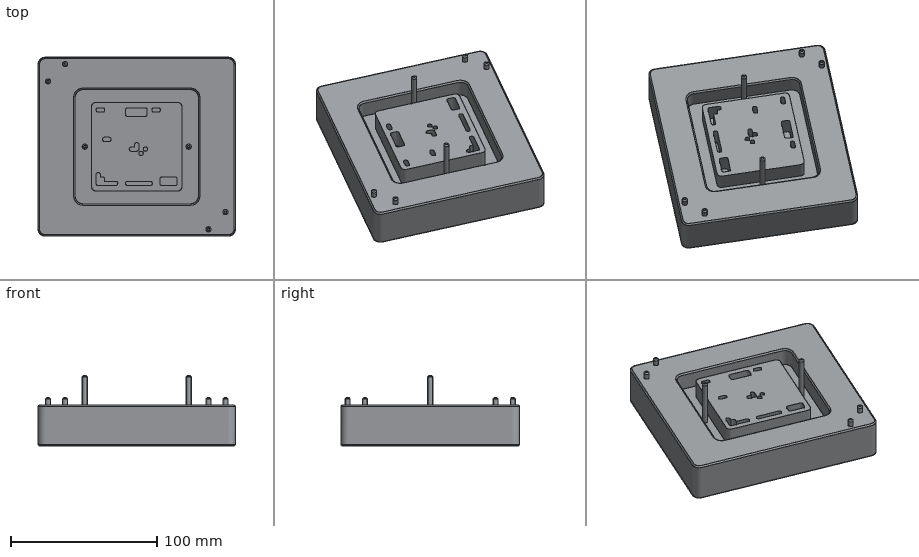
import cadquery as cq

base_length = 135.0
base_width = 122.3
base_height = 28.0
base_corner_radius = 5.0
edge_chamfer = 1.0

pocket_length = 84.2
pocket_width = 78.0
pocket_depth = 13.0
pocket_corner_radius = 5.4
island_length = 61.8
island_width = 60.5
island_corner_radius = 3.0
pocket_floor = base_height - pocket_depth

cutter_diameter = 3.0
cutter_radius = cutter_diameter / 2
two_cells = 2 * cutter_diameter
three_cells = 3 * cutter_diameter
four_cells = 4 * cutter_diameter
five_cells = 5 * cutter_diameter
recess_edge_x = -27.8
recess_edge_y = 26.6
middle_edge_x = -7.7
upper_slot_x = 10.3
side_slot_x = -23.5
side_slot_y = 3.5
lower_slot_length = 18.4
right_recess_x = 15.8
cluster_x = -1.5
cluster_y = -3.1
cluster_arm_length = 6.6

pin_diameter = 3.5
pin_chamfer = 1.0
long_pin_top = 48.0
long_pin_x = 35.5
short_pin_top = 33.0
short_pin_spots = [(-49.0, 56.4), (-60.6, 44.7)]


def rounded_block(length, width, height, radius, bottom):
    block = cq.Workplane("XY", origin=(0, 0, bottom)).rect(length, width).extrude(height)
    return block.edges("|Z").fillet(radius)


def recess(left, low, length, width):
    """Cutter for one recess, given its lower left corner; its corners have the cutter radius."""
    centre = (left + length / 2, low + width / 2, pocket_floor)
    plane = cq.Workplane("XY", origin=centre)
    if length > cutter_diameter and width > cutter_diameter:
        return plane.rect(length, width).extrude(pocket_depth).edges("|Z").fillet(cutter_radius)
    if length > width:
        return plane.slot2D(length, width).extrude(pocket_depth)
    if width > length:
        return plane.slot2D(width, length, 90).extrude(pocket_depth)
    return plane.circle(cutter_radius).extrude(pocket_depth)


def make_base():
    base = rounded_block(base_length, base_width, base_height, base_corner_radius, 0)
    base = base.faces("<Z or >Z").chamfer(edge_chamfer)
    pocket = rounded_block(pocket_length, pocket_width, pocket_depth, pocket_corner_radius, pocket_floor)
    base = base.cut(pocket)
    base = base.faces(">Z").wires(cq.selectors.LengthNthSelector(0)).chamfer(edge_chamfer)
    island = rounded_block(island_length, island_width, pocket_depth, island_corner_radius, pocket_floor)
    return base.union(island)


def cut_recesses(base):
    bottom_y = -recess_edge_y
    recesses = [
        (recess_edge_x, recess_edge_y - cutter_diameter, two_cells, cutter_diameter),
        (middle_edge_x, recess_edge_y - two_cells, five_cells, two_cells),
        (upper_slot_x, recess_edge_y - cutter_diameter, two_cells, cutter_diameter),
        (side_slot_x, side_slot_y, two_cells, cutter_diameter),
        (recess_edge_x, bottom_y, five_cells, cutter_diameter),
        (recess_edge_x, bottom_y, two_cells, two_cells),
        (recess_edge_x, bottom_y, cutter_diameter, three_cells),
        (middle_edge_x, bottom_y, lower_slot_length, cutter_diameter),
        (right_recess_x, bottom_y, four_cells, two_cells),
        (cluster_x + cutter_diameter - cluster_arm_length, cluster_y, cluster_arm_length, cutter_diameter),
        (cluster_x, cluster_y, cutter_diameter, two_cells),
        (cluster_x + cutter_diameter, cluster_y - cutter_diameter, cutter_diameter, cutter_diameter),
        (cluster_x + two_cells, cluster_y, cutter_diameter, cutter_diameter),
    ]
    for left, low, length, width in recesses:
        base = base.cut(recess(left, low, length, width))
    return base


def make_pin(x, y, bottom, top):
    pin = cq.Workplane("XY", origin=(x, y, bottom)).circle(pin_diameter / 2).extrude(top - bottom)
    return pin.faces(">Z").chamfer(pin_chamfer)


base = cut_recesses(make_base())

long_pins = []
short_pins = []
for side in (1, -1):
    long_pins.append(make_pin(side * long_pin_x, 0, pocket_floor, long_pin_top))
    for x, y in short_pin_spots:
        short_pins.append(make_pin(side * x, side * y, base_height, short_pin_top))

pins = long_pins + short_pins
result = cq.Compound.makeCompound([base.val(), *[pin.val() for pin in pins]])